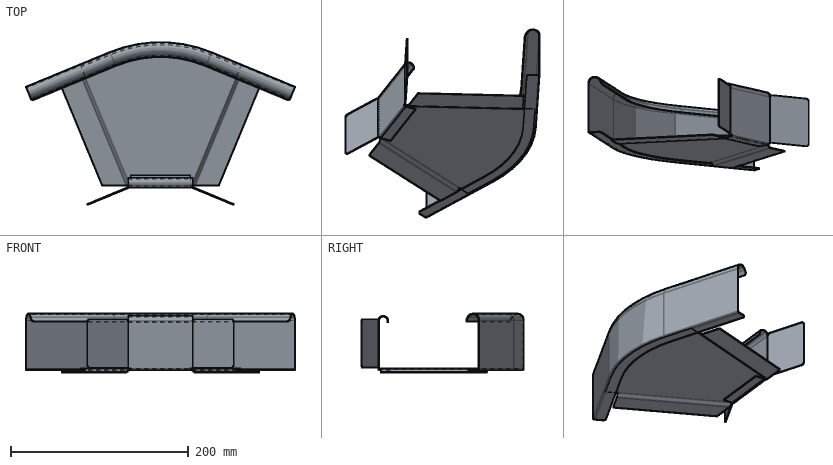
import cadquery as cq
import math


sheet = 1.0
fold_inner_radius = 1.0
fold_outer_radius = fold_inner_radius + sheet
corner_chamfer = 2.0

overall_length = 304.0
bend_angle = 45.0
half_angle = bend_angle / 2
half_sin = math.sin(math.radians(half_angle))
half_cos = math.cos(math.radians(half_angle))

flange_bottom = 2.7
floor_bottom = flange_bottom + sheet
flange_width = 14.5

outer_apex_y = 164.8
outer_radius = 150.0
outer_height = 67.0
outer_curl_radius = 7.5
outer_curl_sweep = 150.0
outer_lip = 5.8
arc_center_y = outer_apex_y - outer_radius
leg_length = (overall_length / 2 - outer_radius * half_sin) / half_cos

inner_half_width = 36.2
inner_height = 64.0
inner_curl_radius = 5.8
inner_curl_sweep = 197.0
inner_flange_half_width = 33.7
inner_curl_start = inner_height - inner_curl_radius
wing_length = 50.2
wing_bottom = 5.8
wing_top = inner_curl_start + corner_chamfer

floor_inset = 2.7
floor_half_width = 34.5
tab_reach = 29.2
tab_wall_gap = 16.7
step_angle = 45.0
step_inner_radius = 0.3
step_outer_radius = step_inner_radius + sheet

wall_distance = outer_radius + arc_center_y * half_cos
fold_offset = floor_half_width * half_cos - floor_inset * half_sin


def polar(center, radius, degrees):
    angle = math.radians(degrees)
    return (center[0] + radius * math.cos(angle), center[1] + radius * math.sin(angle))


def lip_tip(height, curl_radius, sweep, lip, radius):
    """End of the lip on the curl surface of the given radius, as (inset, height)."""
    end_angle = 180 - sweep
    start = polar((curl_radius, height - curl_radius), radius, end_angle)
    return polar(start, lip, end_angle - 90)


def wall_profile(plane, height, curl_radius, sweep, lip=0):
    """Upright sheet with a curled top edge and an optional straight lip, without its bottom fold."""
    curl_center = (curl_radius, height - curl_radius)
    curl_inner = curl_radius - sheet
    end_angle = 180 - sweep
    mid_angle = 180 - sweep / 2
    wall_base = flange_bottom + fold_outer_radius
    outline = (
        cq.Workplane(plane)
        .moveTo(0, wall_base)
        .lineTo(0, curl_center[1])
        .threePointArc(polar(curl_center, curl_radius, mid_angle), polar(curl_center, curl_radius, end_angle))
    )
    if lip:
        outline = outline.lineTo(*lip_tip(height, curl_radius, sweep, lip, curl_radius))
        outline = outline.lineTo(*lip_tip(height, curl_radius, sweep, lip, curl_inner))
    return (
        outline.lineTo(*polar(curl_center, curl_inner, end_angle))
        .threePointArc(polar(curl_center, curl_inner, mid_angle), (sheet, curl_center[1]))
        .lineTo(sheet, wall_base)
        .close()
    )


def flange_profile(plane):
    """Bottom fold and the flat flange that runs in under the floor plate."""
    center = (fold_outer_radius, flange_bottom + fold_outer_radius)
    return (
        cq.Workplane(plane)
        .moveTo(0, center[1])
        .threePointArc(polar(center, fold_outer_radius, 225), (center[0], flange_bottom))
        .lineTo(flange_width, flange_bottom)
        .lineTo(flange_width, floor_bottom)
        .lineTo(center[0], floor_bottom)
        .threePointArc(polar(center, fold_inner_radius, 225), (sheet, center[1]))
        .close()
    )


def make_outer_wall():
    plane = cq.Plane(
        origin=(-outer_radius * half_sin, arc_center_y + outer_radius * half_cos, 0),
        xDir=(half_sin, -half_cos, 0),
        normal=(-half_cos, -half_sin, 0),
    )
    wall_size = (outer_height, outer_curl_radius, outer_curl_sweep, outer_lip)
    axis_top = (outer_radius, outer_height)
    axis_base = (outer_radius, 0)

    upright_leg = wall_profile(plane, *wall_size).extrude(leg_length)
    lip_corner = plane.toWorldCoords((*lip_tip(*wall_size, outer_curl_radius - sheet / 2), leg_length))
    upright_leg = upright_leg.edges(cq.NearestToPointSelector(lip_corner)).chamfer(corner_chamfer)

    flange_leg = flange_profile(plane).extrude(leg_length)
    flange_corner = plane.toWorldCoords((flange_width, flange_bottom + sheet / 2, leg_length))
    flange_leg = flange_leg.edges(cq.NearestToPointSelector(flange_corner)).chamfer(corner_chamfer)

    left_leg = upright_leg.union(flange_leg)
    arc = wall_profile(plane, *wall_size).revolve(bend_angle, axis_top, axis_base)
    arc_flange = flange_profile(plane).revolve(bend_angle, axis_top, axis_base)
    return arc.union(arc_flange).union(left_leg).union(left_leg.mirror("YZ")).solids()


def make_right_wing():
    """Upright side wing, bent out from the end of the inner wall, with chamfered corners."""
    bend_gap = sheet * math.tan(math.radians(half_angle / 2))
    tip_x = inner_half_width + wing_length * half_cos
    tip_y = -wing_length * half_sin
    plan = (
        cq.Workplane("XY")
        .moveTo(inner_half_width, 0)
        .lineTo(tip_x, tip_y)
        .lineTo(tip_x + sheet * half_sin, tip_y + sheet * half_cos)
        .lineTo(inner_half_width + bend_gap, sheet)
        .lineTo(inner_half_width, sheet)
        .close()
        .extrude(wing_top)
    )
    plane = cq.Plane(
        origin=(inner_half_width, 0, 0),
        xDir=(half_cos, -half_sin, 0),
        normal=(-half_sin, -half_cos, 0),
    )
    elevation = (
        cq.Workplane(plane)
        .moveTo(-sheet, wing_bottom)
        .lineTo(wing_length - corner_chamfer, wing_bottom)
        .lineTo(wing_length, wing_bottom + corner_chamfer)
        .lineTo(wing_length, wing_top - corner_chamfer)
        .lineTo(wing_length - corner_chamfer, wing_top)
        .lineTo(corner_chamfer, wing_top)
        .lineTo(0, inner_curl_start)
        .lineTo(-sheet, inner_curl_start)
        .close()
        .extrude(sheet, both=True)
    )
    return plan.intersect(elevation)


def make_inner_wall():
    def section(half_width):
        return cq.Plane(origin=(-half_width, 0, 0), xDir=(0, 1, 0), normal=(1, 0, 0))

    profile = wall_profile(section(inner_half_width), inner_height, inner_curl_radius, inner_curl_sweep)
    upright = profile.extrude(2 * inner_half_width)
    flange = flange_profile(section(inner_flange_half_width)).extrude(2 * inner_flange_half_width)
    wing = make_right_wing()
    return upright.union(flange).union(wing).union(wing.mirror("YZ")).solids()


def tray_end_point(out, across):
    """Plan point given by its distances out of and across the right-hand tray end."""
    return (out * half_cos + across * half_sin, across * half_cos - out * half_sin)


def make_right_tab():
    """Tab that steps down from the floor's right edge through two opposite folds."""
    step_sin = math.sin(math.radians(step_angle))
    step_cos = math.cos(math.radians(step_angle))
    half_fold = step_angle / 2
    fold_radii = step_inner_radius + step_outer_radius
    slope_drop = floor_bottom - fold_radii * (1 - step_cos)
    step_run = fold_radii * step_sin + slope_drop * step_cos / step_sin

    upper_center = (0, floor_bottom - step_inner_radius)
    lower_center = (step_run, sheet + step_inner_radius)
    upper_end = 90 - step_angle
    lower_start = 270 - step_angle

    plane = cq.Plane(
        origin=(fold_offset * half_cos, -fold_offset * half_sin, 0),
        xDir=(half_cos, -half_sin, 0),
        normal=(-half_sin, -half_cos, 0),
    )
    tab_end = wall_distance - tab_wall_gap
    strip = (
        cq.Workplane(plane)
        .moveTo(0, floor_bottom + sheet)
        .threePointArc(
            polar(upper_center, step_outer_radius, 90 - half_fold),
            polar(upper_center, step_outer_radius, upper_end),
        )
        .lineTo(*polar(lower_center, step_inner_radius, lower_start))
        .threePointArc(polar(lower_center, step_inner_radius, 270 - half_fold), (step_run, sheet))
        .lineTo(tab_reach, sheet)
        .lineTo(tab_reach, 0)
        .lineTo(step_run, 0)
        .threePointArc(
            polar(lower_center, step_outer_radius, 270 - half_fold),
            polar(lower_center, step_outer_radius, lower_start),
        )
        .lineTo(*polar(upper_center, step_inner_radius, upper_end))
        .threePointArc(polar(upper_center, step_inner_radius, 90 - half_fold), (0, floor_bottom))
        .close()
        .extrude(-tab_end)
    )
    trim = (
        cq.Workplane("XY")
        .rect(overall_length, 2 * overall_length)
        .extrude(floor_bottom + sheet)
        .translate((overall_length / 2, floor_inset + overall_length, 0))
    )
    return strip.intersect(trim)


def make_floor():
    edge_distance = wall_distance - floor_inset
    edge_radius = outer_radius - floor_inset
    corner_x, corner_y = tray_end_point(fold_offset, edge_distance)
    tangent_x = edge_radius * half_sin
    tangent_y = arc_center_y + edge_radius * half_cos
    plate = (
        cq.Workplane("XY")
        .workplane(offset=floor_bottom)
        .moveTo(-floor_half_width, floor_inset)
        .lineTo(floor_half_width, floor_inset)
        .lineTo(corner_x, corner_y)
        .lineTo(tangent_x, tangent_y)
        .threePointArc((0, outer_apex_y - floor_inset), (-tangent_x, tangent_y))
        .lineTo(-corner_x, corner_y)
        .close()
        .extrude(sheet)
    )
    tab = make_right_tab()
    return plate.union(tab).union(tab.mirror("YZ")).solids()


outer_wall = make_outer_wall()
floor_plate = make_floor()
inner_wall = make_inner_wall()

result = cq.Compound.makeCompound([outer_wall.val(), floor_plate.val(), inner_wall.val()])